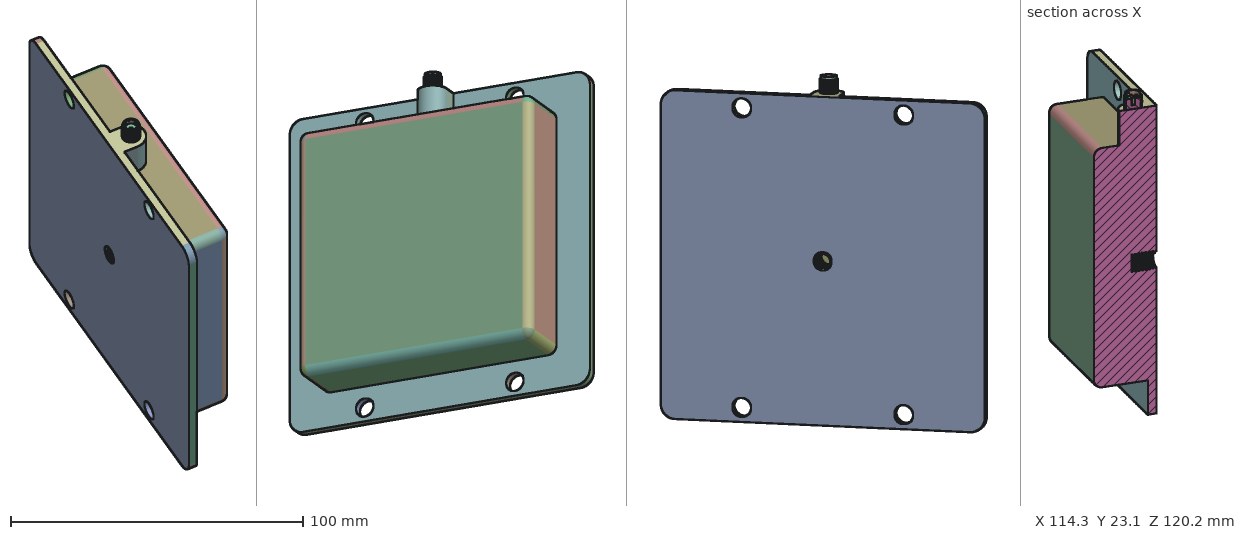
import cadquery as cq

plate_side = 114.3
plate_thickness = 3.18
plate_corner_radius = 5.08

mount_hole_diameter = 6.6
mount_hole_spacing_x = 57.15
mount_hole_spacing_z = 104.14

overall_depth = 23.11
cover_side = 88.9
cover_radius = 3.18

boss_width = 10.4
boss_radius = boss_width / 2
connector_y = 8.53

inch = 25.4
center_major_diameter = inch / 4
center_minor_diameter = 4.98
center_pitch = inch / 20
center_thread_turns = 7

overall_height = 120.23
connector_length = overall_height - plate_side
connector_major_diameter = inch / 4
connector_minor_diameter = 5.6
connector_pitch = inch / 36
connector_thread_turns = 7
socket_diameter = 4.7
socket_depth = 2.0
contact_hole_diameter = 1.0
contact_hole_depth = 2.5

thread_flat_ratio = 1 / 8

plate_top = plate_side / 2
cover_top = cover_side / 2


def ring_thread_profile(start_radius, other_radius, pitch, turns, end):
    """Half section, in (radius, axial) form, of ring threads about the axis.

    Each turn swings from start_radius to other_radius and back, with a short flat
    at both radii. The last turn runs straight on to the axial position end.
    """
    flat = pitch * thread_flat_ratio
    flank = pitch / 2 - flat
    points = [(0, 0), (start_radius, 0)]
    for turn in range(turns):
        flank_start = turn * pitch + flat
        points.append((start_radius, flank_start))
        points.append((other_radius, flank_start + flank))
        points.append((other_radius, flank_start + flank + flat))
        points.append((start_radius, (turn + 1) * pitch))
    points.append((start_radius, end))
    points.append((0, end))
    return points


def make_plate():
    return (
        cq.Workplane("XZ")
        .rect(plate_side, plate_side)
        .extrude(-plate_thickness)
        .edges("|Y")
        .fillet(plate_corner_radius)
    )


def make_cover():
    return (
        cq.Workplane("XZ")
        .rect(cover_side, cover_side)
        .extrude(-overall_depth)
        .edges("|Y")
        .fillet(cover_radius)
        .faces(">Y")
        .edges()
        .fillet(cover_radius)
    )


def make_boss():
    return (
        cq.Workplane("XY", origin=(0, 0, plate_top))
        .moveTo(-boss_radius, 0)
        .lineTo(-boss_radius, connector_y)
        .threePointArc((0, connector_y + boss_radius), (boss_radius, connector_y))
        .lineTo(boss_radius, 0)
        .close()
        .extrude(cover_top - plate_top)
    )


def make_center_hole():
    depth = (center_thread_turns + thread_flat_ratio) * center_pitch
    profile = ring_thread_profile(
        center_major_diameter / 2, center_minor_diameter / 2, center_pitch, center_thread_turns, depth
    )
    return cq.Workplane("XY").polyline(profile).close().revolve(360, (0, 0), (0, 1))


def make_mount_holes():
    return (
        cq.Workplane("XZ")
        .rect(mount_hole_spacing_x, mount_hole_spacing_z, forConstruction=True)
        .vertices()
        .circle(mount_hole_diameter / 2)
        .extrude(-plate_thickness)
    )


def make_housing():
    body = make_plate().union(make_cover()).union(make_boss())
    return body.cut(make_mount_holes()).cut(make_center_hole())


def make_connector():
    profile = ring_thread_profile(
        connector_minor_diameter / 2,
        connector_major_diameter / 2,
        connector_pitch,
        connector_thread_turns,
        connector_length,
    )
    barrel = (
        cq.Workplane("XZ", origin=(0, connector_y, plate_top))
        .polyline(profile)
        .close()
        .revolve(360, (0, 0), (0, 1))
    )
    socket = barrel.faces(">Z").workplane(origin=(0, connector_y, 0)).hole(socket_diameter, socket_depth)
    contact_hole = (
        cq.Workplane("XY", origin=(0, connector_y, plate_top + connector_length - socket_depth))
        .circle(contact_hole_diameter / 2)
        .extrude(-contact_hole_depth)
    )
    return socket.cut(contact_hole)


housing = make_housing()
connector = make_connector()

result = cq.Compound.makeCompound([housing.val(), connector.val()])